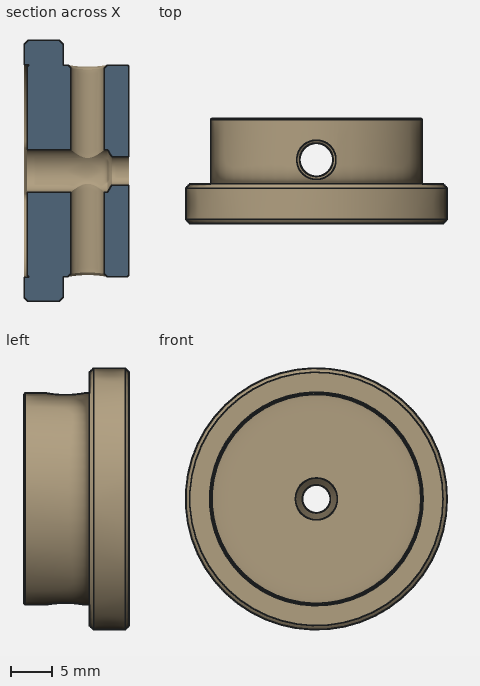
import cadquery as cq
import math

total_length = 12.7
flange_radius = 15.75
flange_thickness = 4.8
flange_chamfer = 0.5
hub_radius = 12.75
hub_chamfer = 0.2

recess_depth = 0.38
recess_chamfer = 0.1

bore_radius = 2.52
bore_depth = 10.08
pilot_radius = 1.67
drill_point_angle = 118.0
shoulder_length = (bore_radius - pilot_radius) / math.tan(math.radians(drill_point_angle / 2))

cross_hole_radius = 2.0
cross_hole_chamfer = 0.38
cross_hole_y = 7.7

front_y = -total_length / 2
back_y = front_y + total_length
flange_back_y = front_y + flange_thickness
hub_front_y = front_y + recess_depth


def revolve_about_y(profile):
    return profile.close().revolve(360, (0, 0, 0), (0, 1, 0))


def make_body():
    profile = (
        cq.Workplane("XY")
        .moveTo(0, hub_front_y)
        .lineTo(hub_radius - hub_chamfer, hub_front_y)
        .lineTo(hub_radius, hub_front_y + hub_chamfer)
        .lineTo(hub_radius, front_y + recess_chamfer)
        .lineTo(hub_radius + recess_chamfer, front_y)
        .lineTo(flange_radius - flange_chamfer, front_y)
        .lineTo(flange_radius, front_y + flange_chamfer)
        .lineTo(flange_radius, flange_back_y - flange_chamfer)
        .lineTo(flange_radius - flange_chamfer, flange_back_y)
        .lineTo(hub_radius, flange_back_y)
        .lineTo(hub_radius, back_y - hub_chamfer)
        .lineTo(hub_radius - hub_chamfer, back_y)
        .lineTo(0, back_y)
    )
    return revolve_about_y(profile)


def make_cross_hole():
    return (
        cq.Workplane("XY")
        .center(0, front_y + cross_hole_y)
        .circle(cross_hole_radius)
        .extrude(flange_radius, both=True)
    )


def make_bore():
    shoulder_y = front_y + bore_depth
    profile = (
        cq.Workplane("XY")
        .moveTo(0, front_y)
        .lineTo(bore_radius, front_y)
        .lineTo(bore_radius, shoulder_y)
        .lineTo(pilot_radius, shoulder_y + shoulder_length)
        .lineTo(pilot_radius, back_y)
        .lineTo(0, back_y)
    )
    return revolve_about_y(profile)


def mouth_edges(body):
    """Select the two edges where the cross hole meets the hub surface."""
    reach = 2 * cross_hole_radius
    mouths = cq.selectors.BoxSelector(
        (-reach, flange_back_y, hub_radius - reach),
        (reach, back_y - hub_chamfer / 2, hub_radius + reach),
    ) + cq.selectors.BoxSelector(
        (-reach, flange_back_y, -hub_radius - reach),
        (reach, back_y - hub_chamfer / 2, -hub_radius + reach),
    )
    return body.edges("not #Z").edges("not |Y").edges("not |Z").edges(mouths)


drilled = make_body().cut(make_cross_hole())
chamfered = mouth_edges(drilled).chamfer(cross_hole_chamfer)
result = chamfered.cut(make_bore())